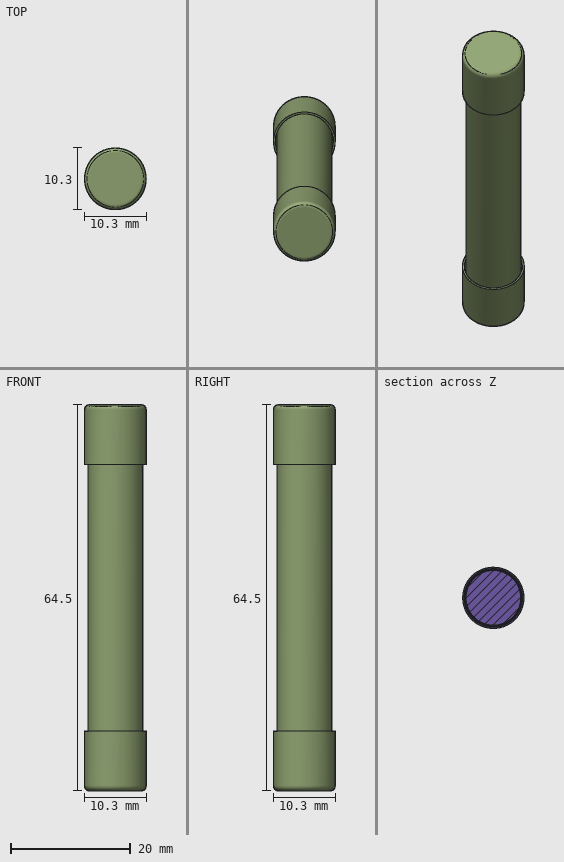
import cadquery as cq

TOTAL_LENGTH = 64.5
CAP_DIAMETER = 10.3
CAP_LENGTH = 10.0
CAP_EDGE_RADIUS = 0.85
CAP_END_THICKNESS = 0.3
CAP_WALL = 0.3
BARREL_DIAMETER = 9.2

SEAT_DIAMETER = 9.4
SEAT_DEPTH = 0.3

SOCKET_DIAMETER = CAP_DIAMETER - 2 * CAP_WALL
SEAT_END = CAP_LENGTH - CAP_END_THICKNESS
SOCKET_END = SEAT_END - SEAT_DEPTH
BARREL_LENGTH = TOTAL_LENGTH - 2 * CAP_END_THICKNESS


def make_cylinder(diameter, length, bottom):
    """Cylinder about the Z axis, standing on the height `bottom`."""
    return cq.Workplane("XY", origin=(0, 0, bottom)).circle(diameter / 2).extrude(length)


def make_barrel():
    """Plain barrel that butts against the inner end faces of both caps."""
    return make_cylinder(BARREL_DIAMETER, BARREL_LENGTH, -BARREL_LENGTH / 2)


def make_cap():
    """Upper cap: rounded outer rim and a stepped blind socket open downward."""
    mouth = TOTAL_LENGTH / 2 - CAP_LENGTH
    shell = make_cylinder(CAP_DIAMETER, CAP_LENGTH, mouth)
    shell = shell.faces(">Z").edges().fillet(CAP_EDGE_RADIUS)
    socket = make_cylinder(SOCKET_DIAMETER, SOCKET_END, mouth)
    seat = make_cylinder(SEAT_DIAMETER, SEAT_END, mouth)
    return shell.cut(socket).cut(seat)


barrel = make_barrel()

caps = []
for turn in (0, 180):
    cap = make_cap().rotate((0, 0, 0), (1, 0, 0), turn)
    caps.append(cap.val())

result = cq.Compound.makeCompound([barrel.val(), *caps])